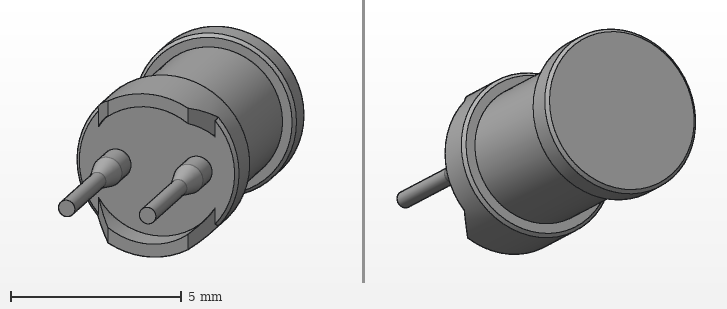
import cadquery as cq


total_length = 11.51
flange_diameter = 5.0
flange_chamfer = 0.1
winding_diameter = 4.2
post_diameter = 2.07

rear_flange_end = 0.95
front_flange_start = 5.35
front_flange_end = 6.61
feet_end = 7.5
lead_taper_end = 8.46

foot_tip_width = 2.46
foot_root_width = 3.59

lead_spacing = 2.5
lead_diameter = 0.51
collar_diameter = 0.9


def cylinder(diameter, start, end):
    """Cylinder on the part axis between two positions."""
    return cq.Workplane("XZ", origin=(0, -start, 0)).circle(diameter / 2).extrude(end - start)


def make_flange(start, end):
    """Disc with both rims chamfered."""
    return cylinder(flange_diameter, start, end).edges().chamfer(flange_chamfer)


def make_feet():
    """Two arc-shaped feet: a ring trimmed to a width that tapers towards the tips."""
    root = front_flange_end - flange_chamfer
    flare_per_length = (foot_root_width - foot_tip_width) / (feet_end - front_flange_end)
    half_tip = foot_tip_width / 2
    half_root = (foot_root_width + flare_per_length * flange_chamfer) / 2

    ring = cylinder(flange_diameter, root, feet_end)
    ring = ring.cut(cylinder(winding_diameter, root, feet_end))
    taper = (
        cq.Workplane("XY")
        .polyline([(-half_root, -root), (half_root, -root), (half_tip, -feet_end), (-half_tip, -feet_end)])
        .close()
        .extrude(flange_diameter / 2, both=True)
    )
    return ring.intersect(taper)


def make_bobbin():
    """Two flanges joined by a post, with the feet on the front flange."""
    rear_flange = make_flange(0, rear_flange_end)
    post = cylinder(post_diameter, rear_flange_end, front_flange_start)
    front_flange = make_flange(front_flange_start, front_flange_end)
    return rear_flange.union(post).union(front_flange).union(make_feet())


def make_winding():
    """Sleeve that fills the space between the flanges around the post."""
    sleeve = cylinder(winding_diameter, rear_flange_end, front_flange_start)
    return sleeve.cut(cylinder(post_diameter, rear_flange_end, front_flange_start))


def make_lead(x):
    """Lead standing on the front flange: a thick collar, a taper and a thin wire."""
    collar_radius = collar_diameter / 2
    wire_radius = lead_diameter / 2
    half_profile = [
        (0, -front_flange_end),
        (collar_radius, -front_flange_end),
        (collar_radius, -feet_end),
        (wire_radius, -lead_taper_end),
        (wire_radius, -total_length),
        (0, -total_length),
    ]
    lead = cq.Workplane("XY").polyline(half_profile).close().revolve(360, (0, 0, 0), (0, 1, 0))
    return lead.translate((x, 0, 0))


bobbin = make_bobbin().solids()
winding = make_winding().solids()
leads = [make_lead(side * lead_spacing / 2) for side in (-1, 1)]

result = cq.Compound.makeCompound([bobbin.val(), winding.val(), *[lead.val() for lead in leads]])